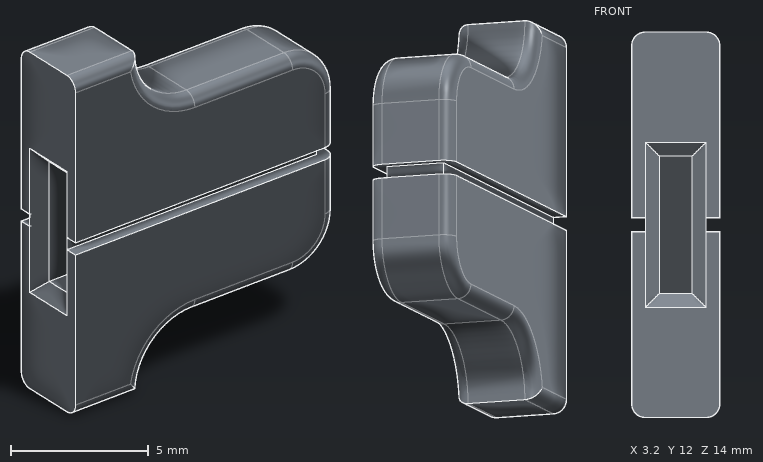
import cadquery as cq
import math

thickness = 3.2
length = 12.0
height = 14.0

flange_length = 3.0
body_height = 9.0
corner_radius = 2.0
edge_radius = 0.5
neck_radius = (height - body_height) / 2

groove_width = 0.5
groove_depth = 0.5

pocket_width = thickness - 2 * groove_depth
pocket_height = 5.99
lead_in = 0.5
pocket_depth = length / 2

front = -length / 2
back = length / 2
flange_end = front + flange_length
neck_end = flange_end + neck_radius


def make_body():
    """Flanged tab with hollow necks and rounded back corners."""
    top = height / 2
    body_top = body_height / 2
    diagonal = neck_radius * math.sqrt(0.5)
    neck_mid_y = neck_end - diagonal
    neck_mid_z = top - diagonal
    body = (
        cq.Workplane("YZ")
        .moveTo(front, -top)
        .lineTo(flange_end, -top)
        .threePointArc((neck_mid_y, -neck_mid_z), (neck_end, -body_top))
        .lineTo(back, -body_top)
        .lineTo(back, body_top)
        .lineTo(neck_end, body_top)
        .threePointArc((neck_mid_y, neck_mid_z), (flange_end, top))
        .lineTo(front, top)
        .close()
        .extrude(thickness / 2, both=True)
    )
    body = body.edges("|X and >Y").fillet(corner_radius)
    return body.faces("<X or >X").edges("not(<Y)").fillet(edge_radius)


def make_groove():
    """Ring-shaped cutter, open at the front."""
    outer = cq.Workplane("XY").box(thickness, length, groove_width)
    core = cq.Workplane("XY").box(pocket_width, length, groove_width)
    return outer.cut(core.translate((0, -groove_depth, 0)))


def make_pocket():
    """Straight blind pocket widened by a chamfered lead-in at the front face."""
    inner_width = pocket_width - 2 * lead_in
    inner_height = pocket_height - 2 * lead_in
    front_plane = cq.Workplane("XZ", origin=(0, front, 0))
    mouth = (
        front_plane.rect(pocket_width, pocket_height)
        .workplane(offset=-lead_in)
        .rect(inner_width, inner_height)
        .loft(ruled=True)
    )
    recess = front_plane.rect(inner_width, inner_height).extrude(-pocket_depth)
    return mouth.union(recess)


result = make_body().cut(make_groove()).cut(make_pocket())